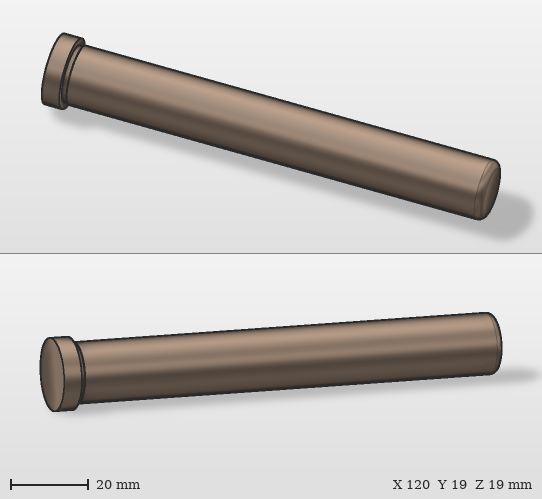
import cadquery as cq

total_length = 120.0
head_diameter = 19.0
head_thickness = 4.8
shank_diameter = 16.0
groove_width = 1.5
groove_diameter = 15.2
tip_radius = 1.8


def cylinder(diameter, start, end):
    """Solid cylinder along X between two stations."""
    return cq.Workplane("YZ", origin=(start, 0, 0)).circle(diameter / 2).extrude(end - start)


groove_end = head_thickness + groove_width

head = cylinder(head_diameter, 0, head_thickness)

groove = cylinder(groove_diameter, head_thickness, groove_end)

shank = cylinder(shank_diameter, groove_end, total_length).faces(">X").edges().fillet(tip_radius)

result = head.union(groove).union(shank)